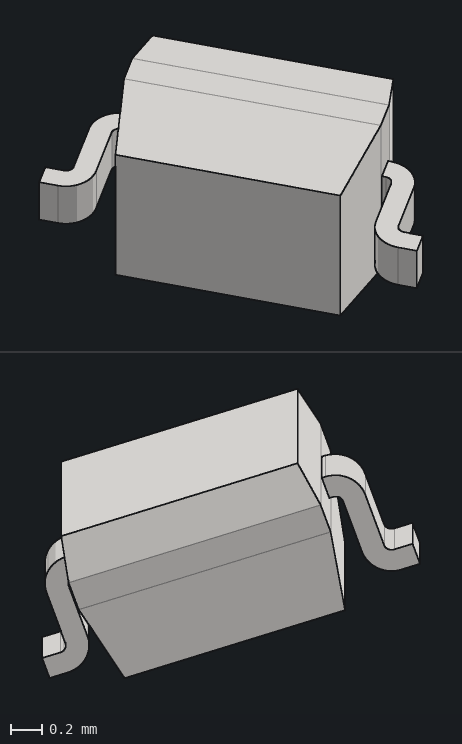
import cadquery as cq
import math

housing_length = 1.7
housing_height = 1.25
front_depth = 0.6
band_depth = 0.2
back_depth = 0.3
draft_angle = 10.0

lead_span = 2.5
lead_thickness = 0.15
lead_width = 0.325
foot_length = 0.125
inner_radius = 0.05
outer_radius = inner_radius + lead_thickness
lead_exit_y = front_depth + band_depth / 2


def section(y, inset):
    """Rectangular wire of the housing at a given Y, drawn in by inset on every side."""
    return (
        cq.Workplane("XZ", origin=(0, y, 0))
        .rect(housing_length - 2 * inset, housing_height - 2 * inset)
        .val()
    )


def block(y_start, inset_start, y_end, inset_end):
    """Solid between two housing sections."""
    wires = [section(y_start, inset_start), section(y_end, inset_end)]
    return cq.Workplane(cq.Solid.makeLoft(wires, True))


def make_housing():
    slope = math.tan(math.radians(draft_angle))
    band_front = front_depth
    band_back = band_front + band_depth
    back = band_back + back_depth
    front_block = block(0, front_depth * slope, band_front, 0)
    band = block(band_front, 0, band_back, 0)
    back_block = block(band_back, 0, back, back_depth * slope)
    return front_block.union(band).union(back_block)


def make_lead(side):
    """One lead; side is -1 for the -X end and +1 for the +X end."""
    tip_x = -lead_span / 2
    inner_bend_x = tip_x + foot_length
    riser_outer_x = inner_bend_x + inner_radius
    riser_inner_x = riser_outer_x + lead_thickness
    top_bend_x = riser_outer_x + outer_radius
    housing_x = -housing_length / 2
    top_y = lead_exit_y + lead_thickness / 2
    under_y = top_y - lead_thickness
    foot_top_y = lead_thickness

    lead = (
        cq.Workplane("XY", origin=(0, 0, -lead_width / 2))
        .moveTo(tip_x, 0)
        .lineTo(inner_bend_x, 0)
        .radiusArc((riser_inner_x, outer_radius), -outer_radius)
        .lineTo(riser_inner_x, under_y - inner_radius)
        .radiusArc((top_bend_x, under_y), inner_radius)
        .lineTo(housing_x, under_y)
        .lineTo(housing_x, top_y)
        .lineTo(top_bend_x, top_y)
        .radiusArc((riser_outer_x, top_y - outer_radius), -outer_radius)
        .lineTo(riser_outer_x, foot_top_y + inner_radius)
        .radiusArc((inner_bend_x, foot_top_y), inner_radius)
        .lineTo(tip_x, foot_top_y)
        .close()
        .extrude(lead_width)
    )
    return lead if side < 0 else lead.mirror("YZ")


housing = make_housing()
leads = [make_lead(side) for side in (-1, 1)]

result = cq.Compound.makeCompound([housing.val(), *[lead.val() for lead in leads]])